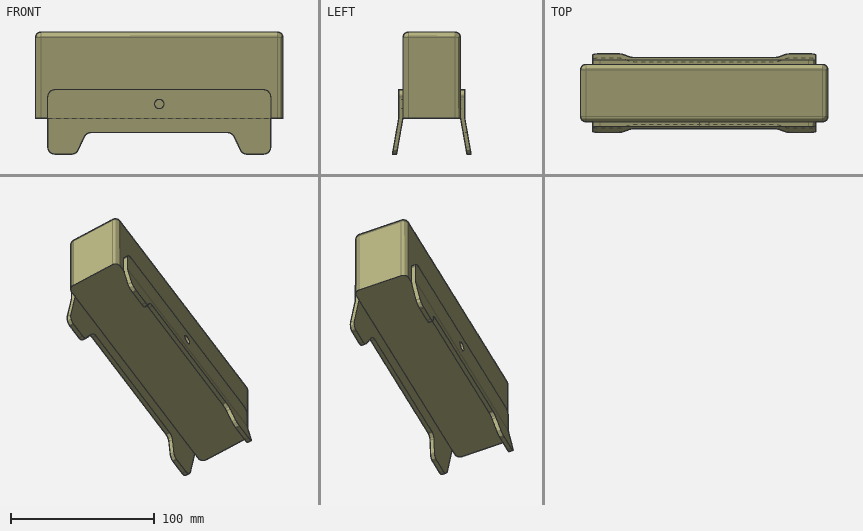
import cadquery as cq
import math

box_length = 172.0
box_width = 40.0
box_height = 60.0
box_edge_radius = 4.0

plate_length = 155.0
plate_height = 20.0
foot_spread = 54.9
leg_drop = 25.0
splay_angle = 10.0
plate_corner_radius = 5.0

gap_height = 15.0
gap_bottom_length = 115.5
gap_top_length = 101.3
gap_root_radius = 5.0

hole_diameter = 6.5
hole_height = plate_height / 2

inner_y = box_width / 2
foot_outer_y = foot_spread / 2
outer_y = foot_outer_y - leg_drop * math.tan(math.radians(splay_angle))
plate_thickness = outer_y - inner_y
foot_inner_y = foot_outer_y - plate_thickness / math.cos(math.radians(splay_angle))
inner_bend_drop = plate_thickness * math.tan(math.radians(splay_angle / 2))


def make_box():
    """Block rounded on its vertical edges and around its top."""
    block = cq.Workplane("XY").box(box_length, box_width, box_height, centered=(True, True, False))
    return block.edges("|Z or >Z").fillet(box_edge_radius)


def make_bent_sheet():
    """Sheet on the +Y side of the box: upright at the top, splayed outward below."""
    section = [
        (inner_y, plate_height),
        (outer_y, plate_height),
        (outer_y, 0),
        (foot_outer_y, -leg_drop),
        (foot_inner_y, -leg_drop),
        (inner_y, -inner_bend_drop),
    ]
    return cq.Workplane("YZ").polyline(section).close().extrude(plate_length / 2, both=True)


def make_plate_outline():
    """Front outline of a plate, as a prism through the +Y side of the part."""
    prism_depth = foot_outer_y
    sheet_height = plate_height + leg_drop
    blank = (
        cq.Workplane("XY", origin=(0, 0, -leg_drop))
        .box(plate_length, prism_depth, sheet_height, centered=(True, False, False))
    )
    gap_top = gap_height - leg_drop
    gap = (
        cq.Workplane("XZ")
        .polyline([
            (-gap_bottom_length / 2, -leg_drop),
            (-gap_top_length / 2, gap_top),
            (gap_top_length / 2, gap_top),
            (gap_bottom_length / 2, -leg_drop),
        ])
        .close()
        .extrude(-prism_depth)
    )
    gap = gap.edges("|Y and >Z").fillet(gap_root_radius)
    outline = blank.cut(gap)
    return outline.edges("|Y and (>Z or <Z)").fillet(plate_corner_radius)


def make_plate(side):
    """One stand plate; side is +1 for the +Y side of the box, -1 for the -Y side."""
    hole = (
        cq.Workplane("XZ")
        .center(0, hole_height)
        .circle(hole_diameter / 2)
        .extrude(-foot_outer_y)
    )
    plate = make_bent_sheet().intersect(make_plate_outline()).cut(hole)
    if side < 0:
        plate = plate.mirror("XZ")
    return plate


box = make_box()
plates = [make_plate(side) for side in (-1, 1)]

result = cq.Compound.makeCompound([box.val(), *[plate.val() for plate in plates]])